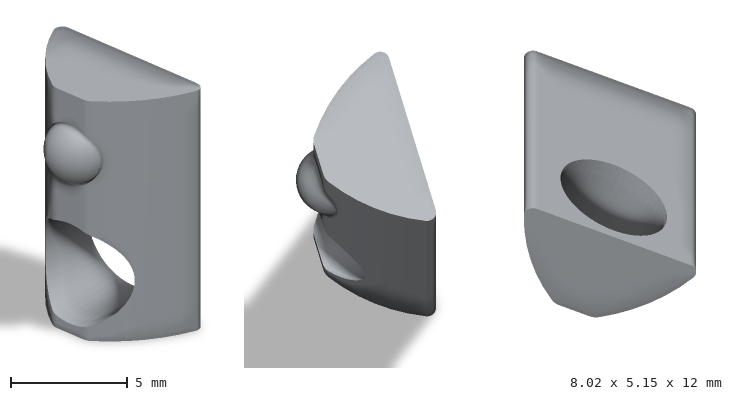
import cadquery as cq
import math

width = 8.02
height = 12.0
body_depth = 4.19
back_corner_radius = 0.4
front_corner_radius = 0.7

flank_radius = 8.04
flank_center_y = 2.57

hole_diameter = 5.0
hole_z = height / 4
ball_diameter = 2.96
ball_z = 3 * height / 4
overall_depth = 5.15
ball_center_y = -overall_depth + ball_diameter / 2

back_corner_x = width / 2 - back_corner_radius
flank_center_x = math.sqrt(
    (flank_radius - back_corner_radius) ** 2 - (flank_center_y + back_corner_radius) ** 2
) - back_corner_x


def flank_x(y):
    """Half width of the unrounded section at a given Y."""
    return math.sqrt(flank_radius**2 - (y - flank_center_y) ** 2) - flank_center_x


def make_body():
    back_x = flank_x(0)
    front_x = flank_x(-body_depth)
    middle_y = -body_depth / 2
    middle_x = flank_x(middle_y)
    body = (
        cq.Workplane("XY")
        .moveTo(-back_x, 0)
        .lineTo(back_x, 0)
        .threePointArc((middle_x, middle_y), (front_x, -body_depth))
        .lineTo(-front_x, -body_depth)
        .threePointArc((-middle_x, middle_y), (-back_x, 0))
        .close()
        .extrude(height)
    )
    body = body.edges("|Z and >Y").fillet(back_corner_radius)
    return body.edges("|Z").edges("<Y").fillet(front_corner_radius)


def make_ball():
    return cq.Workplane("XY").sphere(ball_diameter / 2).translate((0, ball_center_y, ball_z))


def make_hole():
    return (
        cq.Workplane("XZ")
        .center(0, hole_z)
        .circle(hole_diameter / 2)
        .extrude(overall_depth, both=True)
    )


def make_ball_clearance():
    """Blind bore from the ball's widest circle out to the front."""
    return (
        cq.Workplane("XZ", origin=(0, ball_center_y, ball_z))
        .circle(ball_diameter / 2)
        .extrude(overall_depth)
        .cut(make_ball())
    )


result = make_body().union(make_ball()).cut(make_ball_clearance()).cut(make_hole())